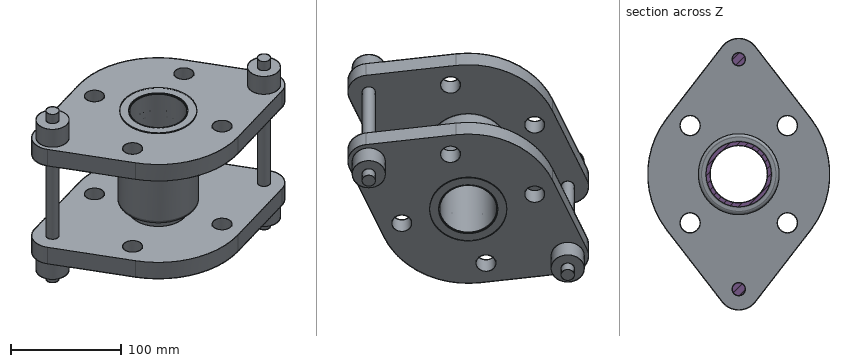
import cadquery as cq
import math

LENGTH_Y = 245.9
WIDTH_X = 165.0
HEIGHT_Z = 188.0

PLATE_THICKNESS = 18.5
PLATE_TOP = 64.0
PLATE_BOTTOM = PLATE_TOP - PLATE_THICKNESS
BODY_RADIUS = WIDTH_X / 2
ROD_OFFSET_Y = 104.0
LUG_RADIUS = LENGTH_Y / 2 - ROD_OFFSET_Y
BOLT_OFFSET = 44.0
BOLT_HOLE_DIAMETER = 18.0

ROD_POINTS = [(0, -ROD_OFFSET_Y), (0, ROD_OFFSET_Y)]
ROD_DIAMETER = 12.0
NUT_DIAMETER = 30.0
NUT_HEIGHT = 20.0

SLEEVE_RADIUS = 36.6
SLEEVE_HALF_LENGTH = 36.0
NECK_RADIUS = 27.0
EDGE_RADIUS = 3.0
FACE_RADIUS = 35.0
FACE_TOP = 65.0
BORE_RADIUS = 25.8
MOUTH_STEP = 1.0


def make_plate():
    """Round body joined to two end lugs by straight sides tangent to both."""
    tangent_sin = (BODY_RADIUS - LUG_RADIUS) / ROD_OFFSET_Y
    tangent_cos = math.sqrt(1 - tangent_sin**2)
    body_x = BODY_RADIUS * tangent_cos
    body_y = BODY_RADIUS * tangent_sin
    lug_x = LUG_RADIUS * tangent_cos
    lug_y = ROD_OFFSET_Y + LUG_RADIUS * tangent_sin
    return (
        cq.Workplane("XY", origin=(0, 0, PLATE_BOTTOM))
        .moveTo(body_x, -body_y)
        .threePointArc((BODY_RADIUS, 0), (body_x, body_y))
        .lineTo(lug_x, lug_y)
        .threePointArc((0, LENGTH_Y / 2), (-lug_x, lug_y))
        .lineTo(-body_x, body_y)
        .threePointArc((-BODY_RADIUS, 0), (-body_x, -body_y))
        .lineTo(-lug_x, -lug_y)
        .threePointArc((0, -LENGTH_Y / 2), (lug_x, -lug_y))
        .close()
        .extrude(PLATE_THICKNESS)
        .pushPoints([(x, y) for x in (-BOLT_OFFSET, BOLT_OFFSET) for y in (-BOLT_OFFSET, BOLT_OFFSET)])
        .circle(BOLT_HOLE_DIAMETER / 2)
        .cutThruAll()
    )


def make_sleeve():
    """Cylinder with rounded shoulders, blended into a narrower neck at each end."""
    barrel = (
        cq.Workplane("XY", origin=(0, 0, -SLEEVE_HALF_LENGTH))
        .circle(SLEEVE_RADIUS)
        .extrude(2 * SLEEVE_HALF_LENGTH)
        .edges()
        .fillet(EDGE_RADIUS)
    )
    neck = cq.Workplane("XY", origin=(0, 0, -PLATE_TOP)).circle(NECK_RADIUS).extrude(2 * PLATE_TOP)
    smallest_circles = cq.selectors.RadiusNthSelector(0)
    near_shoulders = cq.selectors.BoxSelector(
        (-NECK_RADIUS, -NECK_RADIUS, -SLEEVE_HALF_LENGTH - EDGE_RADIUS),
        (NECK_RADIUS, NECK_RADIUS, SLEEVE_HALF_LENGTH + EDGE_RADIUS),
    )
    return barrel.union(neck).edges(near_shoulders).edges(smallest_circles).fillet(EDGE_RADIUS)


def make_upper_face():
    """Raised sealing face on the outer side of the plate."""
    return (
        cq.Workplane("XY", origin=(0, 0, PLATE_TOP))
        .circle(FACE_RADIUS)
        .extrude(FACE_TOP - PLATE_TOP)
    )


def make_rods():
    """Two full-height rods through the lugs."""
    return (
        cq.Workplane("XY", origin=(0, 0, -HEIGHT_Z / 2))
        .pushPoints(ROD_POINTS)
        .circle(ROD_DIAMETER / 2)
        .extrude(HEIGHT_Z)
    )


def make_upper_nuts():
    """Round nuts standing on the upper plate, concentric with the rods."""
    return (
        cq.Workplane("XY", origin=(0, 0, PLATE_TOP))
        .pushPoints(ROD_POINTS)
        .circle(NUT_DIAMETER / 2)
        .extrude(NUT_HEIGHT)
    )


def make_bore():
    """Through bore with a slightly wider, shallow step at each mouth."""
    bore = cq.Workplane("XY", origin=(0, 0, -FACE_TOP)).circle(BORE_RADIUS).extrude(2 * FACE_TOP)
    mouth = (
        cq.Workplane("XY", origin=(0, 0, PLATE_TOP))
        .circle(BORE_RADIUS + MOUTH_STEP)
        .extrude(FACE_TOP - PLATE_TOP)
    )
    return bore.union(mouth).union(mouth.mirror("XY"))


upper_half = make_plate().union(make_upper_face()).union(make_upper_nuts())
both_flanges = upper_half.union(upper_half.mirror("XY"))
result = both_flanges.union(make_sleeve()).union(make_rods()).cut(make_bore())